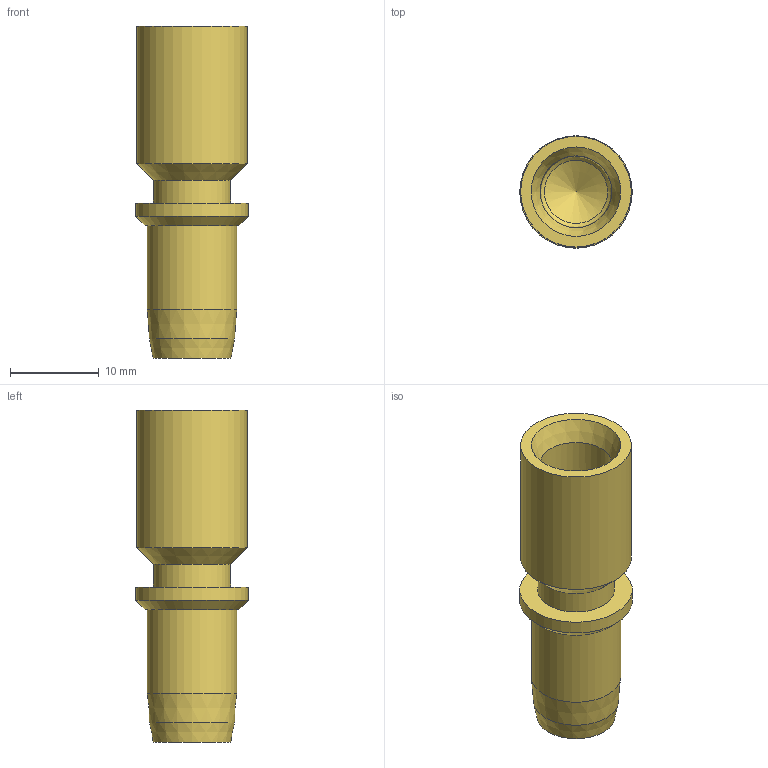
import cadquery as cq
import math

total_height = 37.5
nose_height = 2.15
taper_top = 5.5
collar_top = 17.5
collar_rim_height = 1.5
flare_bottom = 20.05

nose_radius = 4.4
taper_radius = 4.8
spigot_radius = 5.05
collar_radius = 6.35
collar_bottom_radius = 5.3
neck_radius = 4.35
barrel_radius = 6.25

mouth_radius = 5.05
mouth_depth = 2.5
bore_radius = 4.05
bore_depth = 15.0
floor_angle = 118.0
floor_fillet = 1.0

collar_rim_bottom = collar_top - collar_rim_height
collar_bottom = collar_rim_bottom - (collar_radius - collar_bottom_radius)
flare_top = flare_bottom + (barrel_radius - neck_radius)

bore_top = total_height - mouth_depth
bore_bottom = total_height - bore_depth
floor_bottom = bore_bottom - bore_radius / math.tan(math.radians(floor_angle / 2))


def revolve_profile(points):
    """Turn a closed (radius, height) outline around the Z axis."""
    return cq.Workplane("XZ").polyline(points).close().revolve(360, (0, 0, 0), (0, 1, 0))


def make_body():
    return revolve_profile([
        (0, 0),
        (nose_radius, 0),
        (taper_radius, nose_height),
        (spigot_radius, taper_top),
        (spigot_radius, collar_bottom),
        (collar_bottom_radius, collar_bottom),
        (collar_radius, collar_rim_bottom),
        (collar_radius, collar_top),
        (neck_radius, collar_top),
        (neck_radius, flare_bottom),
        (barrel_radius, flare_top),
        (barrel_radius, total_height),
        (0, total_height),
    ])


def make_socket():
    """Tapered mouth, straight bore and conical floor, rounded where wall and floor meet."""
    socket = revolve_profile([
        (0, total_height),
        (mouth_radius, total_height),
        (bore_radius, bore_top),
        (bore_radius, bore_bottom),
        (0, floor_bottom),
    ])
    floor_edge = socket.edges("%CIRCLE").edges("<Z")
    return floor_edge.fillet(floor_fillet)


result = make_body().cut(make_socket())